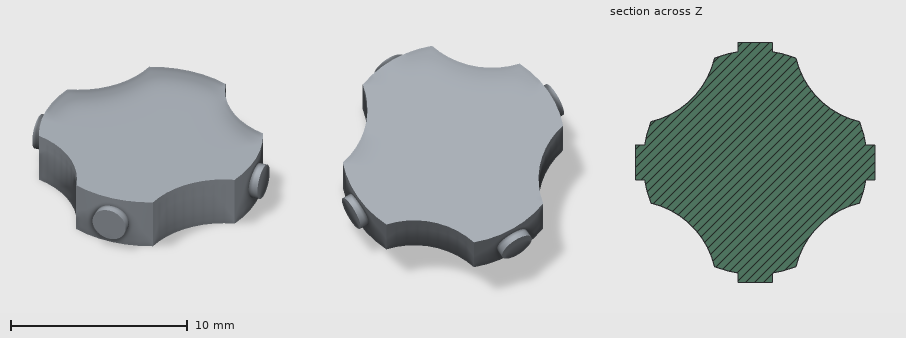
import cadquery as cq
import math

overall_span = 13.6
thickness = 3.11
body_diameter = 12.7
pin_diameter = 2.0
notch_radius = 4.8
notch_half_chord = 2.55

body_radius = body_diameter / 2
chord_distance = math.sqrt(body_radius**2 - notch_half_chord**2)
notch_center_distance = chord_distance + math.sqrt(notch_radius**2 - notch_half_chord**2)

body = cq.Workplane("XY").circle(body_radius).extrude(thickness)
notches = (
    cq.Workplane("XY")
    .polarArray(notch_center_distance, 45, 360, 4)
    .circle(notch_radius)
    .extrude(thickness)
)
body = body.cut(notches)


def cross_pin(plane):
    """Pin through the disc centre, protruding from both opposite rims."""
    return (
        cq.Workplane(plane)
        .center(0, thickness / 2)
        .circle(pin_diameter / 2)
        .extrude(overall_span / 2, both=True)
    )


result = body.union(cross_pin("XZ")).union(cross_pin("YZ"))